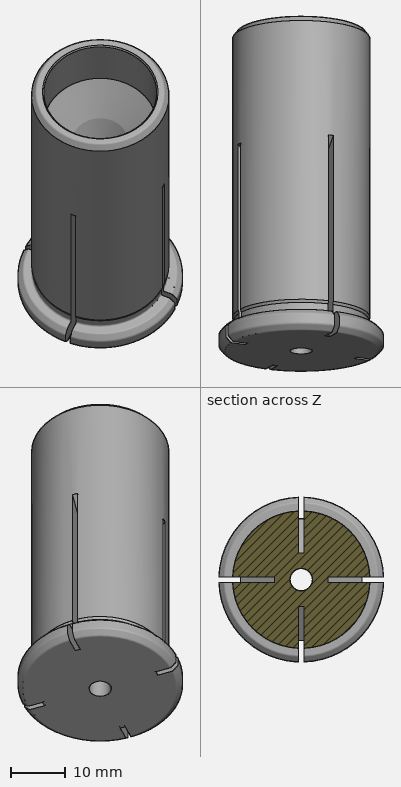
import cadquery as cq
import math

length = 60.0
body_radius = 25.0 / 2
top_chamfer_width = 0.85
top_chamfer_height = 1.1
top_rounding = 0.5

flange_radius = 15.0
flange_height = 4.0
flange_chamfer = 1.0
flange_base_chamfer = 1.0
edge_rounding = 0.5

neck_radius = 12.3
neck_top = 5.75
neck_taper_top = 6.3
neck_fillet = 0.35

bore_radius = 20.5 / 2
bore_floor = 50.0
bore_lip_chamfer = 0.25
funnel_radius = 10.0 / 2
hole_radius = 4.0 / 2
outer_funnel_angle = 45.0
inner_funnel_angle = 60.0

slot_width = 0.95
slot_top_inside = 27.1
slot_bottom_inside = 6.6
slot_top_angle = 45.0
slot_bottom_angle = 36.0


def make_flange():
    """Disc with chamfered rim corners and rounded chamfer edges."""
    disc = (
        cq.Workplane("XY").circle(flange_radius).extrude(flange_height)
        .faces(">Z").chamfer(flange_chamfer)
        .faces("<Z").chamfer(flange_base_chamfer)
    )
    return disc.edges("%CIRCLE").fillet(edge_rounding)


def make_body():
    """Turned sleeve with a neck that blends into the flange."""
    profile = (
        cq.Workplane("XZ")
        .lineTo(neck_radius + neck_fillet, 0)
        .lineTo(neck_radius + neck_fillet, flange_height)
        .radiusArc((neck_radius, flange_height + neck_fillet), neck_fillet)
        .lineTo(neck_radius, neck_top)
        .lineTo(body_radius, neck_taper_top)
        .lineTo(body_radius, length - top_chamfer_height)
        .lineTo(body_radius - top_chamfer_width, length)
        .lineTo(0, length)
        .close()
    )
    body = profile.revolve(360, (0, 0, 0), (0, 1, 0))
    return body.faces(">Z").edges().fillet(top_rounding)


def make_cavity():
    """Bore and two-step funnel ending in the through hole."""
    outer_drop = (bore_radius - funnel_radius) * math.tan(math.radians(outer_funnel_angle))
    inner_drop = (funnel_radius - hole_radius) * math.tan(math.radians(inner_funnel_angle))
    funnel_step = bore_floor - outer_drop
    profile = (
        cq.Workplane("XZ")
        .lineTo(hole_radius, 0)
        .lineTo(hole_radius, funnel_step - inner_drop)
        .lineTo(funnel_radius, funnel_step)
        .lineTo(bore_radius, bore_floor)
        .lineTo(bore_radius, length - bore_lip_chamfer)
        .lineTo(bore_radius + bore_lip_chamfer, length)
        .lineTo(0, length)
        .close()
    )
    return profile.revolve(360, (0, 0, 0), (0, 1, 0))


def make_slot(angle):
    """Radial slot whose end faces slope towards each other at the hole."""
    top_slope = math.tan(math.radians(slot_top_angle))
    bottom_slope = math.tan(math.radians(slot_bottom_angle))
    slot_bottom_radius = hole_radius + slot_bottom_inside / bottom_slope
    slot_top_at_rim = slot_top_inside + top_slope * (flange_radius - hole_radius)
    slot = (
        cq.Workplane("XZ")
        .moveTo(0, slot_bottom_inside)
        .lineTo(hole_radius, slot_bottom_inside)
        .lineTo(slot_bottom_radius, 0)
        .lineTo(flange_radius, 0)
        .lineTo(flange_radius, slot_top_at_rim)
        .lineTo(hole_radius, slot_top_inside)
        .lineTo(0, slot_top_inside)
        .close()
        .extrude(slot_width / 2, both=True)
    )
    return slot.rotate((0, 0, 0), (0, 0, 1), angle)


result = make_flange().union(make_body()).cut(make_cavity())
for slot_angle in (0, 90, 180, 270):
    result = result.cut(make_slot(slot_angle))